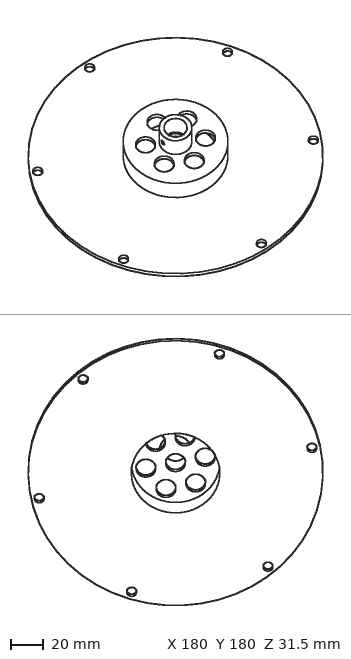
import cadquery as cq

plate_diameter = 180.0
plate_thickness = 3.0
rim_hole_diameter = 6.0
rim_hole_circle_radius = 85.0

drum_diameter = 64.0
drum_cavity_diameter = 54.0
ring_height = 11.5
cap_thickness = 3.0
cap_hole_diameter = 12.0
cap_hole_circle_radius = 18.5
holes_per_circle = 6

sleeve_diameter = 20.0
sleeve_height = 14.0
sleeve_bore_diameter = 14.0
cap_bore_diameter = 12.0
pin_hole_diameter = 3.0

cap_bottom = plate_thickness + ring_height
cap_top = cap_bottom + cap_thickness
sleeve_top = cap_top + sleeve_height
pin_hole_level = cap_top + sleeve_height / 2


def cylinder(diameter, bottom, top):
    """Upright cylinder on the part axis between two levels."""
    return cq.Workplane("XY").workplane(offset=bottom).circle(diameter / 2).extrude(top - bottom)


def hole_circle(diameter, circle_radius, bottom, top):
    """Cutters for evenly spaced holes, the first one on +X."""
    return (
        cq.Workplane("XY")
        .workplane(offset=bottom)
        .polarArray(circle_radius, 0, 360, holes_per_circle)
        .circle(diameter / 2)
        .extrude(top - bottom)
    )


def make_body():
    """Plate, drum and sleeve stacked on one axis."""
    plate = cylinder(plate_diameter, 0, plate_thickness)
    drum = cylinder(drum_diameter, 0, cap_top)
    sleeve = cylinder(sleeve_diameter, cap_bottom, sleeve_top)
    return plate.union(drum).union(sleeve)


def make_pin_hole():
    """Radial cutter through the -Y wall of the sleeve, ending inside its bore."""
    return (
        cq.Workplane("XZ")
        .center(0, pin_hole_level)
        .circle(pin_hole_diameter / 2)
        .extrude(sleeve_diameter)
    )


result = (
    make_body()
    .cut(cylinder(drum_cavity_diameter, 0, cap_bottom))
    .cut(cylinder(cap_bore_diameter, cap_bottom, cap_top))
    .cut(cylinder(sleeve_bore_diameter, cap_top, sleeve_top))
    .cut(hole_circle(cap_hole_diameter, cap_hole_circle_radius, cap_bottom, cap_top))
    .cut(hole_circle(rim_hole_diameter, rim_hole_circle_radius, 0, plate_thickness))
    .cut(make_pin_hole())
)